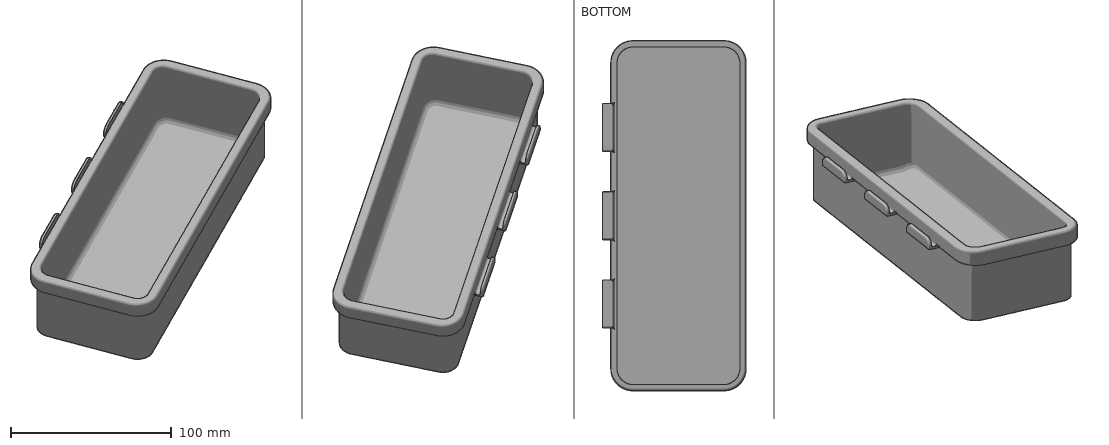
import cadquery as cq

rim_length = 218.0
rim_width = 84.4
tray_height = 50.0
rim_overhang = 4.0
body_length = rim_length - 2 * rim_overhang
body_width = rim_width - 2 * rim_overhang
body_corner_radius = 10.0
wall = 3.0
floor_thickness = wall
floor_fillet = 5.0

rim_height = 10.5
rim_corner_radius = body_corner_radius + rim_overhang
rim_top_fillet = 2.0
rim_bottom_fillet = 1.3
rim_bottom = tray_height - rim_height
rim_side = -rim_width / 2

hook_count = 3
hook_pitch = 55.0
hook_width = 30.0
hook_reach = 5.2
hook_root = 2.0
hook_thickness = 2.0
hook_height = 7.2
hook_corner_radius = 5.0
hook_edge_fillet = 1.0
hook_inner_fillet = 1.0
root_fillet = 0.7

centered_on_y = (False, True, False)


def rounded_block(width, length, height, corner_radius, base):
    """Upright block centred on the Z axis, with rounded vertical corners."""
    block = cq.Workplane("XY").workplane(offset=base).rect(width, length).extrude(height)
    return block.edges("|Z").fillet(corner_radius)


def make_tray():
    body = rounded_block(body_width, body_length, tray_height, body_corner_radius, 0)
    rim = rounded_block(rim_width, rim_length, rim_height, rim_corner_radius, rim_bottom)
    rim = rim.faces(">Z").edges().fillet(rim_top_fillet)
    rim = rim.faces("<Z").edges().fillet(rim_bottom_fillet)
    cavity = rounded_block(
        body_width - 2 * wall,
        body_length - 2 * wall,
        tray_height - floor_thickness,
        body_corner_radius - wall,
        floor_thickness,
    )
    cavity = cavity.faces("<Z").edges().fillet(floor_fillet)
    tray = body.union(rim).cut(cavity)

    mouth_edges = cq.selectors.BoxSelector(
        (-body_width / 2, -body_length / 2, tray_height - rim_top_fillet / 2),
        (body_width / 2, body_length / 2, tray_height + rim_top_fillet / 2),
    )
    return tray.edges(mouth_edges).fillet(rim_top_fillet)


def make_hook(y_center):
    """U-shaped hook whose inner arm is buried in the rim."""
    outer_x = rim_side - hook_reach
    bottom = rim_bottom - hook_thickness
    block_length = hook_reach + hook_root
    block = cq.Workplane("XY").box(block_length, hook_width, hook_height, centered=centered_on_y)
    block = block.translate((outer_x, y_center, bottom))
    block = block.edges("|X and >Z").fillet(hook_corner_radius)
    block = block.faces("<X or <Z").edges().fillet(hook_edge_fillet)

    gap_width = hook_reach - hook_thickness
    gap = cq.Workplane("XY").box(gap_width, 2 * hook_width, hook_height, centered=centered_on_y)
    gap = gap.edges("|Y and <Z").fillet(hook_inner_fillet)
    gap = gap.translate((outer_x + hook_thickness, y_center, rim_bottom))
    return block.cut(gap)


def make_root_blend(y_center):
    """Small concave fillet around the hook root, carried by a slab inside the rim."""
    start_x = rim_side + rim_bottom_fillet
    root_length = hook_root - rim_bottom_fillet
    root_height = hook_thickness - hook_edge_fillet
    slab_size = (root_length + 2 * root_fillet, hook_width + 4 * root_fillet, root_height)
    blend = cq.Workplane("XY").box(*slab_size, centered=centered_on_y)
    root = cq.Workplane("XY").box(root_length, hook_width, root_height, centered=centered_on_y)
    blend = blend.union(root.translate((0, 0, -root_height)))

    margin = root_fillet / 2
    half_width = hook_width / 2 + margin
    foot_edges = cq.selectors.BoxSelector(
        (margin, -half_width, -margin),
        (root_length + margin, half_width, margin),
    )
    blend = blend.edges(foot_edges).fillet(root_fillet)
    return blend.translate((start_x, y_center, rim_bottom))


result = make_tray()
for index in range(hook_count):
    hook_y = (index - (hook_count - 1) / 2) * hook_pitch
    result = result.union(make_hook(hook_y)).union(make_root_blend(hook_y))